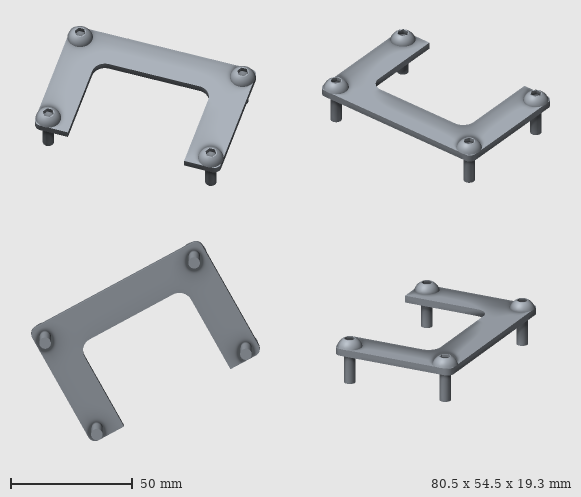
import cadquery as cq
import math

plate_length = 80.0
plate_width = 54.0
plate_thickness = 3.0
band_width = 15.0
outer_corner_radius = 3.0
inner_corner_radius = 5.5
opening_length = plate_length - 2 * band_width
opening_depth = plate_width - band_width

screw_inset = 5.0
shank_diameter = 4.77
screw_length = 16.0
head_diameter = 10.5
head_height = 3.3
head_flat_diameter = 5.0
socket_across_flats = 4.0
socket_depth = 2.08
socket_across_corners = socket_across_flats / math.cos(math.radians(30))

screw_spacing_x = plate_length - 2 * screw_inset
screw_spacing_y = plate_width - 2 * screw_inset
screw_positions = [
    (side_x * screw_spacing_x / 2, side_y * screw_spacing_y / 2)
    for side_x in (-1, 1)
    for side_y in (-1, 1)
]


def make_plate():
    """U-shaped plate with rounded corners and a hole for each screw shank."""
    blank = (
        cq.Workplane("XY")
        .rect(plate_length, plate_width)
        .extrude(plate_thickness)
        .edges("|Z")
        .fillet(outer_corner_radius)
    )
    opening = (
        cq.Workplane("XY")
        .center(0, (opening_depth - plate_width) / 2)
        .rect(opening_length, opening_depth)
        .extrude(plate_thickness)
        .edges("|Z and >Y")
        .fillet(inner_corner_radius)
    )
    shank_holes = (
        cq.Workplane("XY")
        .pushPoints(screw_positions)
        .circle(shank_diameter / 2)
        .extrude(plate_thickness)
    )
    return blank.cut(opening).cut(shank_holes)


def make_screw(x, y):
    """Screw with a domed head resting on the plate and a hexagonal socket."""
    head_radius = head_diameter / 2
    flat_radius = head_flat_diameter / 2
    shank_radius = shank_diameter / 2

    centre_drop = (head_radius**2 - flat_radius**2 - head_height**2) / (2 * head_height)
    dome_radius = math.hypot(head_radius, centre_drop)
    dome_mid_height = head_height / 2
    dome_mid_radius = math.sqrt(dome_radius**2 - (dome_mid_height + centre_drop) ** 2)

    body = (
        cq.Workplane("XZ")
        .moveTo(0, -screw_length)
        .lineTo(shank_radius, -screw_length)
        .lineTo(shank_radius, 0)
        .lineTo(head_radius, 0)
        .threePointArc((dome_mid_radius, dome_mid_height), (flat_radius, head_height))
        .lineTo(0, head_height)
        .close()
        .revolve(360, (0, 0, 0), (0, 1, 0))
    )
    socket = (
        cq.Workplane("XY")
        .workplane(offset=head_height - socket_depth)
        .polygon(6, socket_across_corners)
        .extrude(socket_depth)
    )
    return body.cut(socket).translate((x, y, plate_thickness))


plate = make_plate()
screws = [make_screw(x, y) for x, y in screw_positions]

result = cq.Compound.makeCompound([plate.val(), *[screw.val() for screw in screws]])